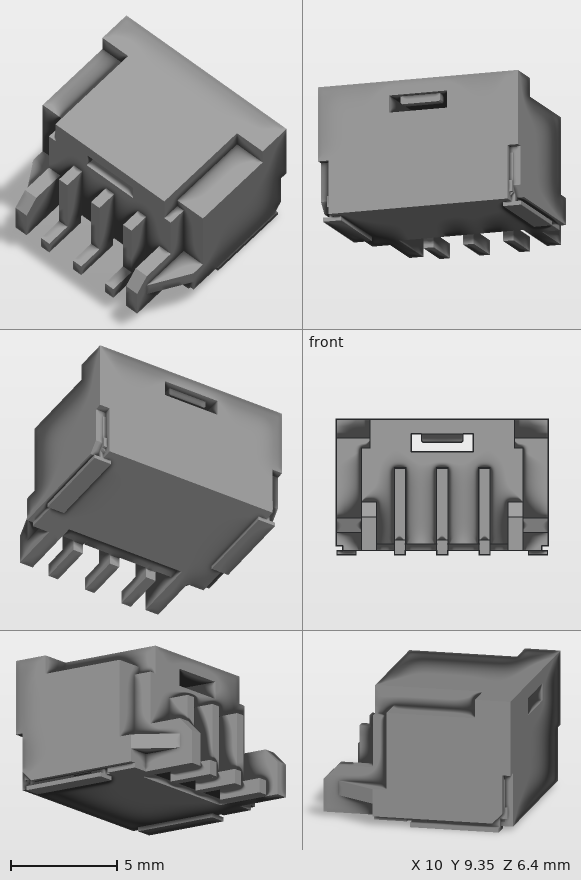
import cadquery as cq


width = 10.0
half_width = width / 2
height = 6.4
depth = 6.94
standoff = 0.2

relief_width = 1.6
relief_floor_z = 5.5
relief_back_y = 5.22
shoulder_y = 0.93
step_width = 1.2
step_top_z = 5.04
low_corner_top_z = 1.75
low_corner_front_y = 0.26

rib_width = 0.7
rib_top_z = 2.5
rib_reach = 2.41
rib_chamfer = 0.7
gusset_height = 0.7

undercut_width = 0.31
undercut_top_z = 0.43
rear_notch_top_z = 2.8
rear_notch_y = depth - 0.39
notch_chamfer = 0.49
pocket_front_y = 1.84
pocket_width = 0.52

lead_pitch = 2.0
lead_width = 0.52
lead_top_z = 4.08
lead_front_y = -1.05
foot_tip_y = -2.35
foot_back_y = -0.07
foot_height = 0.7
slot_clearance = 0.035
slot_depth = 0.3
front_wall_bottom_z = 0.51

pad_inset = 0.04
pad_width = 0.9
pad_front_y = 2.06
pad_back_y = depth - 0.58
tab_thickness = 0.16
tab_top_z = 2.5
tab_upper_back_y = depth - 0.35
tab_hook_back_y = depth - 0.23
tab_hook_bottom_z = 0.6
tab_hook_top_z = 1.14
tab_window_front_y = 2.83
tab_window_back_y = 3.88
tab_window_top_z = 0.4

window_width = 2.9
window_bottom_z = 4.87
window_top_z = 5.7
latch_width = 1.97
latch_drop = 0.39
latch_front_y = 6.1
latch_thickness = 0.5
latch_lean = 0.07
latch_corner = 0.07

overlap = 0.1


def block(x_range, y_range, z_range):
    """Box given by its limits along X, Y and Z."""
    (x0, x1), (y0, y1), (z0, z1) = x_range, y_range, z_range
    return cq.Workplane("XY").box(x1 - x0, y1 - y0, z1 - z0, centered=False).translate((x0, y0, z0))


def side_profile(points, x_range):
    """Extrude a (y, z) outline between two X positions."""
    x0, x1 = x_range
    return cq.Workplane("YZ", origin=(x0, 0, 0)).polyline(points).close().extrude(x1 - x0)


def both_sides(left):
    """Combine a left-hand shape with its mirror image."""
    return left.union(left.mirror("YZ"))


def side_undercut(front_y, cut_width):
    """Left-hand cut along the bottom edge that rises into the rear notch."""
    outline = [
        (front_y, standoff),
        (front_y, undercut_top_z),
        (rear_notch_y - notch_chamfer, undercut_top_z),
        (rear_notch_y, undercut_top_z + notch_chamfer),
        (rear_notch_y, rear_notch_top_z),
        (depth, rear_notch_top_z),
        (depth, standoff),
    ]
    return side_profile(outline, (-half_width, -half_width + cut_width))


def corner_cuts():
    """Top relief, front corner steps and the undercut with its tab pocket, left side."""
    left = -half_width
    relief = block((left, left + relief_width), (0, relief_back_y), (relief_floor_z, height))
    inner_step = block((left, left + relief_width), (0, shoulder_y), (step_top_z, height))
    outer_step = block((left, left + step_width), (0, shoulder_y), (low_corner_top_z, height))
    low_step = block((left, left + step_width), (0, low_corner_front_y), (0, height))
    undercut = side_undercut(0, undercut_width)
    pocket = side_undercut(pocket_front_y, pocket_width)
    return relief.union(inner_step).union(outer_step).union(low_step).union(undercut).union(pocket)


def solder_tab():
    """Left solder tab: a plate with a rear hook beveled underneath, on a flat pad."""
    floor_x = -half_width + pocket_width
    face_x = floor_x - tab_thickness
    outline = [
        (pad_front_y, standoff - overlap),
        (pad_front_y, undercut_top_z),
        (pad_back_y, tab_top_z),
        (tab_upper_back_y, tab_top_z),
        (tab_upper_back_y, tab_hook_top_z),
        (tab_hook_back_y, tab_hook_top_z),
        (tab_hook_back_y, tab_hook_bottom_z),
        (pad_back_y, tab_hook_bottom_z),
        (pad_back_y, standoff - overlap),
    ]
    plate = side_profile(outline, (face_x, floor_x))
    bevel = (
        cq.Workplane("XZ", origin=(0, rear_notch_y, 0))
        .polyline([(face_x, tab_hook_bottom_z), (floor_x, tab_hook_bottom_z), (floor_x, undercut_top_z)])
        .close()
        .extrude(rear_notch_y - pad_back_y + overlap)
    )
    pad_x = -half_width + pad_inset
    pad = block((pad_x, pad_x + pad_width), (pad_front_y, pad_back_y), (0, standoff))
    return plate.union(bevel).union(pad)


def guide_rib():
    """Left guide rib with a chamfered nose and the gusset on its outer side."""
    rib_x = -half_width + step_width
    nose_y = -rib_reach
    outline = [
        (overlap, standoff),
        (nose_y, standoff),
        (nose_y, rib_top_z - rib_chamfer),
        (nose_y + rib_chamfer, rib_top_z),
        (overlap, rib_top_z),
    ]
    rib = side_profile(outline, (rib_x, rib_x + rib_width))
    gusset = (
        cq.Workplane("XY", origin=(0, 0, low_corner_top_z - gusset_height))
        .polyline([
            (-half_width, low_corner_front_y),
            (rib_x, nose_y + rib_chamfer),
            (rib_x, low_corner_front_y),
        ])
        .close()
        .extrude(gusset_height)
    )
    return rib.union(gusset)


def lead_slot(lead_x):
    """Front wall slot, slightly wider than the lead on the side facing the middle."""
    x0 = lead_x - lead_width / 2
    x1 = lead_x + lead_width / 2
    if lead_x < 0:
        x1 += slot_clearance
    elif lead_x > 0:
        x0 -= slot_clearance
    return block((x0, x1), (0, slot_depth), (front_wall_bottom_z, lead_top_z + slot_clearance))


def lead(lead_x):
    """L-shaped lead: an upright set into the front wall and a foot on the board."""
    outline = [
        (foot_tip_y, 0),
        (foot_tip_y, foot_height),
        (lead_front_y, foot_height),
        (lead_front_y, lead_top_z),
        (slot_depth + overlap, lead_top_z),
        (slot_depth + overlap, front_wall_bottom_z),
        (foot_back_y, front_wall_bottom_z),
        (foot_back_y, 0),
    ]
    return side_profile(outline, (lead_x - lead_width / 2, lead_x + lead_width / 2))


def latch():
    """Latch hanging from the window ceiling, leaning forward, with clipped lower corners."""
    bottom_z = window_top_z - latch_drop
    back_y = latch_front_y + latch_thickness
    outline = [
        (latch_front_y, bottom_z),
        (latch_front_y + latch_lean, window_top_z),
        (back_y, window_top_z),
        (back_y, bottom_z),
    ]
    leaning_bar = side_profile(outline, (-latch_width / 2, latch_width / 2))
    lower_corners = leaning_bar.faces("<Z").edges("<X or >X")
    return lower_corners.chamfer(latch_corner)


lead_positions = [index * lead_pitch for index in (-1, 0, 1)]
rib_inner_x = half_width - step_width - rib_width

housing = block((-half_width, half_width), (0, depth), (standoff, height))
housing = housing.cut(both_sides(corner_cuts()))
housing = housing.cut(block((-rib_inner_x, rib_inner_x), (0, shoulder_y), (standoff, front_wall_bottom_z)))
housing = housing.cut(
    block((-window_width / 2, window_width / 2), (0, depth), (window_bottom_z, window_top_z))
)
for position in lead_positions:
    housing = housing.cut(lead_slot(position))

result = housing.union(both_sides(guide_rib())).union(latch())
tab_window = block(
    (-half_width, -half_width + pocket_width),
    (tab_window_front_y, tab_window_back_y),
    (standoff, tab_window_top_z),
)
result = result.union(both_sides(solder_tab())).cut(both_sides(tab_window))
for position in lead_positions:
    result = result.union(lead(position))